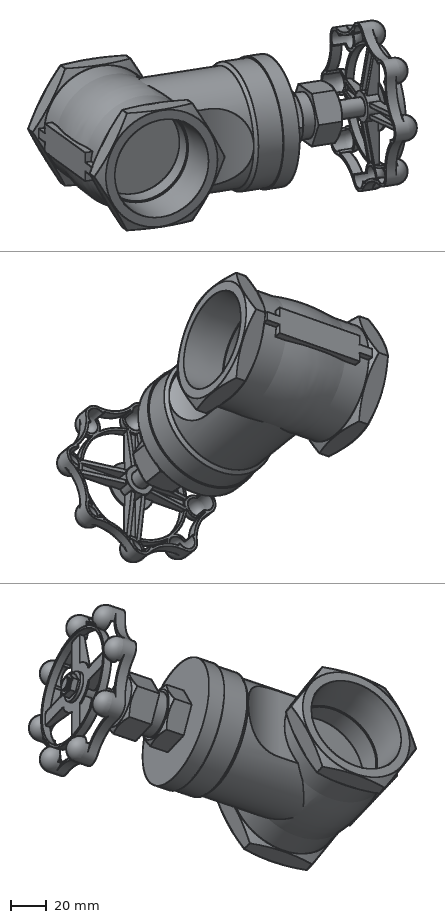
import cadquery as cq
import math


HEX_SIDES = 6
HEX_CORNER_RATIO = 2 / math.sqrt(3)

overall_length = 202.5

pipe_diameter = 69.0
bulge_diameter = 72.7
bulge_half_length = 20.0
end_hex_flats = 70.0
end_hex_thickness = 12.0
end_hex_bevel_diameter = 69.2
end_hex_bevel_depth = 2.8
body_half_length = 47.4

port_mouth_diameter = 58.0
port_root_diameter = 56.7
port_depth = 25.7
seat_diameter = 54.9
gate_thickness = 18.6
gate_face_angle = 5

plate_face_y = -38.0
plate_length = 54.0
plate_height = 17.0
plate_arm_height = 5.5

neck_diameter = 70.0
neck_width = 52.8
neck_straight_top_y = 38.3
neck_top_y = 62.7
bonnet_diameter = 74.0
bonnet_chamfer = 2.0
flange_bottom_y = 80.0
flange_diameter = 76.0
flange_top_y = 89.9

nut_flats = 31.5
nut_bevel_diameter = 30.0
nut_bevel_angle = 30
lower_nut_top_y = 102.8
collar_diameter = 27.0
upper_nut_bottom_y = 110.7
upper_nut_top_y = 127.0
stem_diameter = 11.0

wheel_bottom_y = 143.7
rim_top_y = 150.0
ring_bottom_y = 151.8
wheel_top_y = 156.7
ring_outer_diameter = 72.0
ring_inner_diameter = 69.0
hub_diameter = 18.0
hub_bottom_y = 145.5
knob_count = 8
knob_circle_radius = 42.5
knob_radius = 7.5
knob_hollow_diameter = 11.7
dome_center_y = 152.2
rim_valley_radius = 26.0
spoke_count = 4
spoke_top_y = 154.6
spoke_width = 9.3
spoke_wall = 2.5
spoke_web = 1.5
spoke_hub_bottom_y = 147.0
hub_plate_diameter = 30.0
hub_plate_thickness = 0.8

wheel_nut_flats = 12.1
wheel_nut_top_y = 160.7
wheel_nut_bevel_diameter = 11.7
stem_end_diameter = 8.0
stem_end_chamfer = 0.5
stem_end_y = overall_length - end_hex_flats * HEX_CORNER_RATIO / 2


def plane_at_y(y):
    """Workplane across the stem axis that extrudes towards +Y."""
    return cq.Workplane(cq.Plane(origin=(0, y, 0), xDir=(1, 0, 0), normal=(0, 1, 0)))


def disc_y(diameter, bottom, top):
    return plane_at_y(bottom).circle(diameter / 2).extrude(top - bottom)


def end_hex():
    """Hexagon at the -X end of the pipe, bevelled on both faces, corners on the Y axis."""
    corner_radius = end_hex_flats * HEX_CORNER_RATIO / 2
    bevel_radius = end_hex_bevel_diameter / 2
    prism = (
        cq.Workplane("YZ", origin=(-body_half_length, 0, 0))
        .polygon(HEX_SIDES, 2 * corner_radius)
        .extrude(end_hex_thickness)
    )
    outer_x = -body_half_length
    inner_x = outer_x + end_hex_thickness
    envelope = (
        cq.Workplane("XY")
        .moveTo(outer_x, 0)
        .lineTo(outer_x, bevel_radius)
        .lineTo(outer_x + end_hex_bevel_depth, corner_radius)
        .lineTo(inner_x - end_hex_bevel_depth, corner_radius)
        .lineTo(inner_x, bevel_radius)
        .lineTo(inner_x, 0)
        .close()
        .revolve(360, (0, 0, 0), (1, 0, 0))
    )
    return prism.intersect(envelope)


def pipe():
    """Round pipe that swells at mid-length, with a hexagon at each end."""
    pipe_radius = pipe_diameter / 2
    end_x = body_half_length - end_hex_thickness
    barrel = (
        cq.Workplane("XY")
        .moveTo(-end_x, 0)
        .lineTo(-end_x, pipe_radius)
        .lineTo(-bulge_half_length, pipe_radius)
        .threePointArc((0, bulge_diameter / 2), (bulge_half_length, pipe_radius))
        .lineTo(end_x, pipe_radius)
        .lineTo(end_x, 0)
        .close()
        .revolve(360, (0, 0, 0), (1, 0, 0))
    )
    left_hex = end_hex()
    return barrel.union(left_hex).union(left_hex.mirror("YZ"))


def gate():
    """Closed gate: a wedge across the pipe, thicker towards the stem."""
    seat_radius = seat_diameter / 2
    half_thickness = gate_thickness / 2
    half_taper = seat_radius * math.tan(math.radians(gate_face_angle))
    return (
        cq.Workplane("XY")
        .moveTo(-half_thickness + half_taper, -seat_radius)
        .lineTo(half_thickness - half_taper, -seat_radius)
        .lineTo(half_thickness + half_taper, seat_radius)
        .lineTo(-half_thickness - half_taper, seat_radius)
        .close()
        .extrude(seat_radius, both=True)
    )


def ports():
    """Voids of both ports: tapered mouths and a straight seat bore, closed by the gate."""
    step_x = body_half_length - port_depth
    mouth_radius = port_mouth_diameter / 2
    root_radius = port_root_diameter / 2
    seat_radius = seat_diameter / 2
    passage = (
        cq.Workplane("XY")
        .moveTo(-body_half_length, 0)
        .lineTo(-body_half_length, mouth_radius)
        .lineTo(-step_x, root_radius)
        .lineTo(-step_x, seat_radius)
        .lineTo(step_x, seat_radius)
        .lineTo(step_x, root_radius)
        .lineTo(body_half_length, mouth_radius)
        .lineTo(body_half_length, 0)
        .close()
        .revolve(360, (0, 0, 0), (1, 0, 0))
    )
    return passage.cut(gate())


def name_plate():
    """Flat pad with a narrow arm running to each end hexagon."""
    arm_length = 2 * (body_half_length - end_hex_thickness)
    base = plane_at_y(plate_face_y)
    pad = base.rect(plate_length, plate_height).extrude(-plate_face_y)
    arms = base.rect(arm_length, plate_arm_height).extrude(-plate_face_y)
    return pad.union(arms)


def neck():
    """Round neck flattened on both X sides; the flats flare out to the bonnet."""
    neck_radius = neck_diameter / 2
    half_width = neck_width / 2
    flare_out = neck_radius - half_width
    flare_rise = neck_top_y - neck_straight_top_y
    flare_radius = (flare_out**2 + flare_rise**2) / (2 * flare_out)
    side_profile = (
        cq.Workplane("XY")
        .moveTo(-half_width, 0)
        .lineTo(half_width, 0)
        .lineTo(half_width, neck_straight_top_y)
        .radiusArc((neck_radius, neck_top_y), flare_radius)
        .lineTo(-neck_radius, neck_top_y)
        .radiusArc((-half_width, neck_straight_top_y), flare_radius)
        .close()
        .extrude(neck_radius, both=True)
    )
    return disc_y(neck_diameter, 0, neck_top_y).intersect(side_profile)


def bonnet():
    cup = disc_y(bonnet_diameter, neck_top_y, flange_bottom_y).faces("<Y").chamfer(bonnet_chamfer)
    return cup.union(disc_y(flange_diameter, flange_bottom_y, flange_top_y))


def bevelled_nut(flats, bevel_diameter, bottom, top):
    """Hexagonal nut with corners on the X axis and a conical bevel on its top face."""
    corner_radius = flats * HEX_CORNER_RATIO / 2
    bevel_radius = bevel_diameter / 2
    bevel_depth = (corner_radius - bevel_radius) * math.tan(math.radians(nut_bevel_angle))
    prism = plane_at_y(bottom).polygon(HEX_SIDES, 2 * corner_radius).extrude(top - bottom)
    envelope = (
        cq.Workplane("XY")
        .moveTo(0, bottom)
        .lineTo(corner_radius, bottom)
        .lineTo(corner_radius, top - bevel_depth)
        .lineTo(bevel_radius, top)
        .lineTo(0, top)
        .close()
        .revolve(360, (0, 0, 0), (0, 1, 0))
    )
    return prism.intersect(envelope)


def packing_and_stem():
    lower_nut = bevelled_nut(nut_flats, nut_bevel_diameter, flange_top_y, lower_nut_top_y)
    upper_nut = bevelled_nut(nut_flats, nut_bevel_diameter, upper_nut_bottom_y, upper_nut_top_y)
    collar = disc_y(collar_diameter, lower_nut_top_y, upper_nut_bottom_y)
    stem = disc_y(stem_diameter, upper_nut_top_y, wheel_top_y)
    return lower_nut.union(collar).union(upper_nut).union(stem)


def polar(radius, angle):
    return (radius * math.cos(angle), radius * math.sin(angle))


def rim_outline(lobe_radius):
    """Closed wavy wire: a lobe round each knob, joined by tangent valley arcs."""
    half_pitch = math.pi / knob_count
    center_gap = knob_radius + rim_valley_radius
    sideways = knob_circle_radius * math.sin(half_pitch)
    outward = math.sqrt(center_gap**2 - sideways**2)
    valley_center = knob_circle_radius * math.cos(half_pitch) + outward
    valley_bottom = valley_center - center_gap + lobe_radius
    along = knob_circle_radius * math.cos(half_pitch) + lobe_radius * outward / center_gap
    across = sideways * (1 - lobe_radius / center_gap)
    tangent_radius = math.hypot(along, across)
    tangent_angle = half_pitch - math.atan2(across, along)

    wire = plane_at_y(wheel_bottom_y).moveTo(*polar(tangent_radius, -tangent_angle))
    for i in range(knob_count):
        knob_angle = 2 * half_pitch * i
        lobe_crest = polar(knob_circle_radius + lobe_radius, knob_angle)
        lobe_end = polar(tangent_radius, knob_angle + tangent_angle)
        valley_middle = polar(valley_bottom, knob_angle + half_pitch)
        next_lobe = polar(tangent_radius, knob_angle + 2 * half_pitch - tangent_angle)
        wire = wire.threePointArc(lobe_crest, lobe_end).threePointArc(valley_middle, next_lobe)
    return wire.close()


def rim():
    height = rim_top_y - wheel_bottom_y
    outer = rim_outline(knob_radius).extrude(height)
    return outer.cut(rim_outline(knob_hollow_diameter / 2).extrude(height))


def knob():
    """Hollow dome on the +X side, with the outer half of its skirt reaching the wheel bottom."""

    def domed_pin(radius):
        pin = disc_y(2 * radius, wheel_bottom_y, dome_center_y)
        ball = cq.Workplane("XY").sphere(radius).translate((0, dome_center_y, 0))
        return pin.union(ball)

    inner_half = (
        plane_at_y(wheel_bottom_y)
        .center(-knob_radius, 0)
        .rect(2 * knob_radius, 2 * knob_radius)
        .extrude(ring_bottom_y - wheel_bottom_y)
    )
    hollow = domed_pin(knob_hollow_diameter / 2)
    shell = domed_pin(knob_radius).cut(hollow).cut(inner_half)
    return shell.translate((knob_circle_radius, 0, 0))


def spoke():
    """Channel spoke on the +X side: a top web and two walls that deepen towards the hub."""
    end_x = (ring_inner_diameter + ring_outer_diameter) / 4
    hub_x = hub_diameter / 2
    blade = (
        cq.Workplane("XY")
        .moveTo(0, spoke_top_y)
        .lineTo(end_x, spoke_top_y)
        .lineTo(end_x, ring_bottom_y)
        .lineTo(hub_x, spoke_hub_bottom_y)
        .lineTo(0, spoke_hub_bottom_y)
        .close()
        .extrude(spoke_width / 2, both=True)
    )
    channel_height = spoke_top_y - spoke_web - wheel_bottom_y
    channel = (
        plane_at_y(wheel_bottom_y)
        .rect(2 * ring_inner_diameter, spoke_width - 2 * spoke_wall)
        .extrude(channel_height)
    )
    return blade.cut(channel)


def handwheel():
    ring_height = wheel_top_y - ring_bottom_y
    wheel = (
        plane_at_y(ring_bottom_y)
        .circle(ring_outer_diameter / 2)
        .circle(ring_inner_diameter / 2)
        .extrude(ring_height)
    )
    for i in range(spoke_count):
        wheel = wheel.union(spoke().rotate((0, 0, 0), (0, 1, 0), 360 / spoke_count * i))
    wheel = wheel.union(disc_y(hub_diameter, hub_bottom_y, wheel_top_y))
    wheel = wheel.union(disc_y(hub_plate_diameter, spoke_top_y - hub_plate_thickness, spoke_top_y))
    for i in range(knob_count):
        turned_knob = knob().rotate((0, 0, 0), (0, 1, 0), 360 / knob_count * i)
        wheel = wheel.union(turned_knob)
    return wheel.union(rim())


def wheel_nut():
    nut = bevelled_nut(wheel_nut_flats, wheel_nut_bevel_diameter, wheel_top_y, wheel_nut_top_y)
    stem_end = disc_y(stem_end_diameter, wheel_top_y, stem_end_y).faces(">Y").chamfer(stem_end_chamfer)
    return nut.union(stem_end)


body = pipe().union(name_plate()).union(neck()).cut(ports())
result = body.union(bonnet()).union(packing_and_stem()).union(handwheel()).union(wheel_nut())